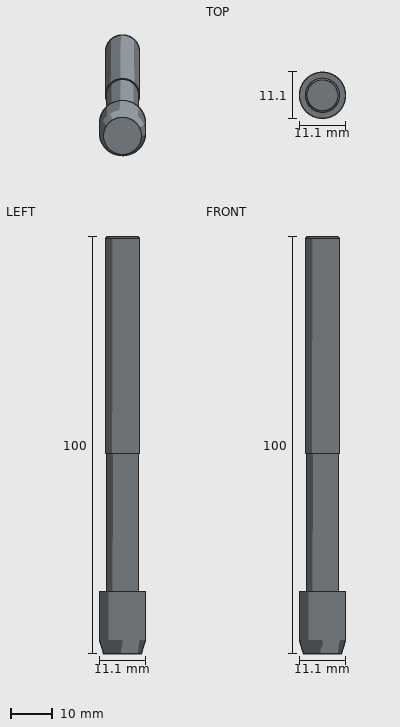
import cadquery as cq
import math

TOTAL_LENGTH = 100.0

HEAD_DIAMETER = 11.11
HEAD_LENGTH = 15.0
TAPER_HEIGHT = 3.3
TAPER_ANGLE = 17.0

NECK_DIAMETER = 7.75
NECK_TOP = 48.0
SHANK_DIAMETER = 8.2
SHANK_CHAMFER = 0.4


def make_cutting_head():
    head_radius = HEAD_DIAMETER / 2
    tip_radius = head_radius - TAPER_HEIGHT * math.tan(math.radians(TAPER_ANGLE))
    profile = (
        cq.Workplane("XZ")
        .moveTo(0, 0)
        .lineTo(tip_radius, 0)
        .lineTo(head_radius, TAPER_HEIGHT)
        .lineTo(head_radius, HEAD_LENGTH)
        .lineTo(0, HEAD_LENGTH)
        .close()
    )
    return profile.revolve(360, (0, 0), (0, 1))


def make_shaft():
    neck_radius = NECK_DIAMETER / 2
    shank_radius = SHANK_DIAMETER / 2
    profile = (
        cq.Workplane("XZ")
        .moveTo(0, HEAD_LENGTH)
        .lineTo(neck_radius, HEAD_LENGTH)
        .lineTo(neck_radius, NECK_TOP)
        .lineTo(shank_radius, NECK_TOP)
        .lineTo(shank_radius, TOTAL_LENGTH - SHANK_CHAMFER)
        .lineTo(shank_radius - SHANK_CHAMFER, TOTAL_LENGTH)
        .lineTo(0, TOTAL_LENGTH)
        .close()
    )
    return profile.revolve(360, (0, 0), (0, 1))


cutting_head = make_cutting_head()
shaft = make_shaft()
result = cq.Compound.makeCompound([cutting_head.val(), shaft.val()])